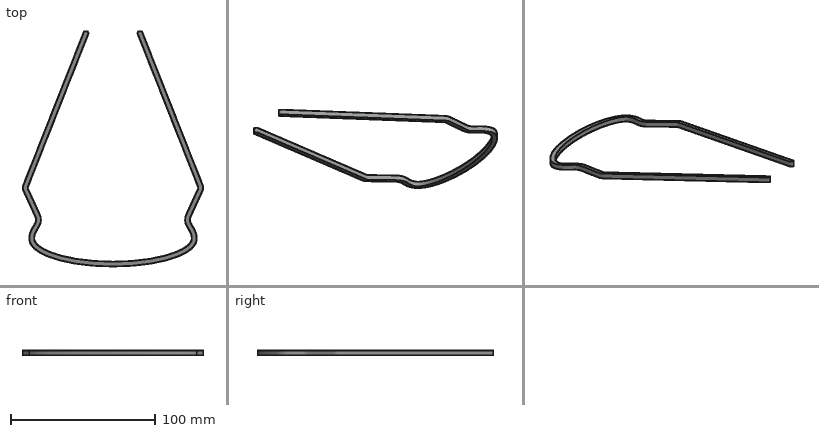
import cadquery as cq
import math

BAR_WIDTH = 3.5
BAR_HEIGHT = 3.5
END_CORNER_RADIUS = 1.5

TOTAL_WIDTH = 125.13
TOTAL_LENGTH = 163.19

BOW_HALF_WIDTH = 56.3
BOW_DEPTH = 17.75

WAIST_X = -50.75
WAIST_Y = 12.6
WAIST_RADIUS = 7.0
FLARE_ANGLE = 60.0
SHOULDER_Y = 35.0
SHOULDER_RADIUS = 3.0
ARM_END_X = -18.15

HALF_BAR = BAR_WIDTH / 2
ARM_END_Y = TOTAL_LENGTH - BOW_DEPTH - HALF_BAR


def bend_offset(before, corner, after, radius):
    """Distance from a sharp corner to the outermost point of its rounded bend, along the bisector."""
    half_turn = (corner - before).getAngle(after - corner) / 2
    return radius * (1 / math.cos(half_turn) - 1)


def bend_ends(before, corner, after, radius):
    """Points where a bend of the given radius leaves and joins its two straight legs."""
    leg_in = (corner - before).normalized()
    leg_out = (after - corner).normalized()
    setback = radius * math.tan(leg_in.getAngle(leg_out) / 2)
    return corner - leg_in * setback, corner + leg_out * setback


def half_centreline():
    """Path from the middle of the bow to just beyond the tip of the -X arm."""
    hip_y = WAIST_Y - (BOW_HALF_WIDTH + WAIST_X) * math.tan(math.radians(FLARE_ANGLE))
    hip = cq.Vector(-BOW_HALF_WIDTH, hip_y)
    waist = cq.Vector(WAIST_X, WAIST_Y)
    arm_end = cq.Vector(ARM_END_X, ARM_END_Y)

    shoulder = cq.Vector(HALF_BAR - TOTAL_WIDTH / 2, SHOULDER_Y)
    shoulder -= cq.Vector(bend_offset(waist, shoulder, arm_end, SHOULDER_RADIUS), 0)

    hip_end = hip + (waist - hip).normalized() * hip_y
    waist_start, waist_end = bend_ends(hip, waist, shoulder, WAIST_RADIUS)
    shoulder_start, shoulder_end = bend_ends(waist, shoulder, arm_end, SHOULDER_RADIUS)

    overrun_end = arm_end + (arm_end - shoulder_end).normalized() * HALF_BAR

    return (
        cq.Workplane("XY")
        .moveTo(0, -BOW_DEPTH)
        .ellipseArc(BOW_HALF_WIDTH, BOW_DEPTH, 180, 270, sense=-1, startAtCurrent=True)
        .tangentArcPoint(hip_end, relative=False)
        .lineTo(waist_start.x, waist_start.y)
        .tangentArcPoint(waist_end, relative=False)
        .lineTo(shoulder_start.x, shoulder_start.y)
        .tangentArcPoint(shoulder_end, relative=False)
        .lineTo(overrun_end.x, overrun_end.y)
        .wire()
    )


def half_clip():
    """Bar swept along the -X half, trimmed flat at its tip, with the upright tip corners rounded."""
    bar = (
        cq.Workplane("YZ", origin=(0, -BOW_DEPTH, 0))
        .rect(BAR_WIDTH, BAR_HEIGHT)
        .sweep(half_centreline())
    )
    trim = cq.Workplane("XY").box(TOTAL_WIDTH, BAR_WIDTH * 2, BAR_HEIGHT * 2)
    bar = bar.cut(trim.translate((0, ARM_END_Y + BAR_WIDTH, 0)))
    bar = bar.faces(">Y").edges("|Z").fillet(END_CORNER_RADIUS)
    return bar.translate((0, 0, BAR_HEIGHT / 2))


left_half = half_clip()
result = left_half.union(left_half.mirror("YZ"))